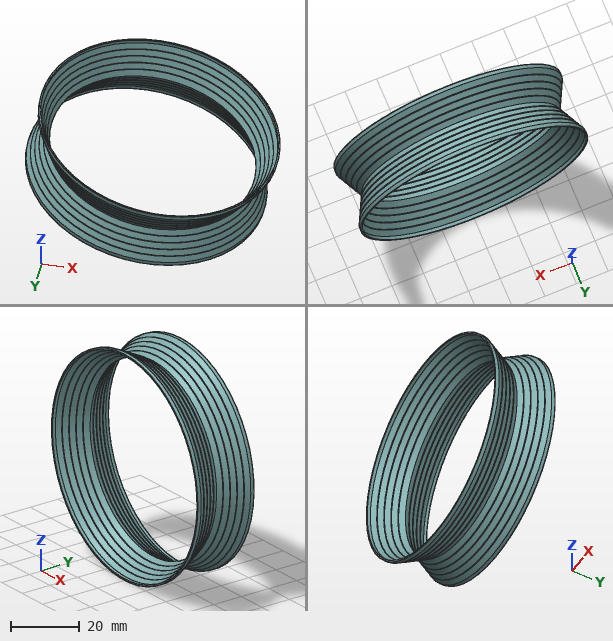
import cadquery as cq
import math

outer_radius = 35.895
half_width = 10.2
rim_width = 1.2
wall = 0.5

bands_per_half = 5
land_width = 0.25
cone_angle = math.radians(30)

flare_width = half_width - rim_width
lands_per_half = bands_per_half - 1
band_width = (flare_width - lands_per_half * land_width) / bands_per_half
band_rise = band_width * math.tan(cone_angle)
waist_radius = outer_radius - bands_per_half * band_rise


def wall_edge(inset):
    """Points (y, radius) from the -Y end to the +Y end, offset square to the outer surface by inset."""
    corner_shift = inset * math.tan(cone_angle / 2)
    half = [(0, waist_radius - inset / math.cos(cone_angle))]
    for band in range(1, bands_per_half + 1):
        radius = waist_radius + band * band_rise - inset
        land_start = band * band_width + (band - 1) * land_width + corner_shift
        is_rim = band == bands_per_half
        land_end = half_width if is_rim else land_start + land_width
        half += [(land_start, radius), (land_end, radius)]
    mirrored = [(-y, radius) for y, radius in reversed(half[1:])]
    return mirrored + half


outer_edge = wall_edge(0)
inner_edge = wall_edge(wall)

result = (
    cq.Workplane("YZ")
    .polyline(outer_edge + inner_edge[::-1])
    .close()
    .revolve(360, (0, 0, 0), (1, 0, 0))
)